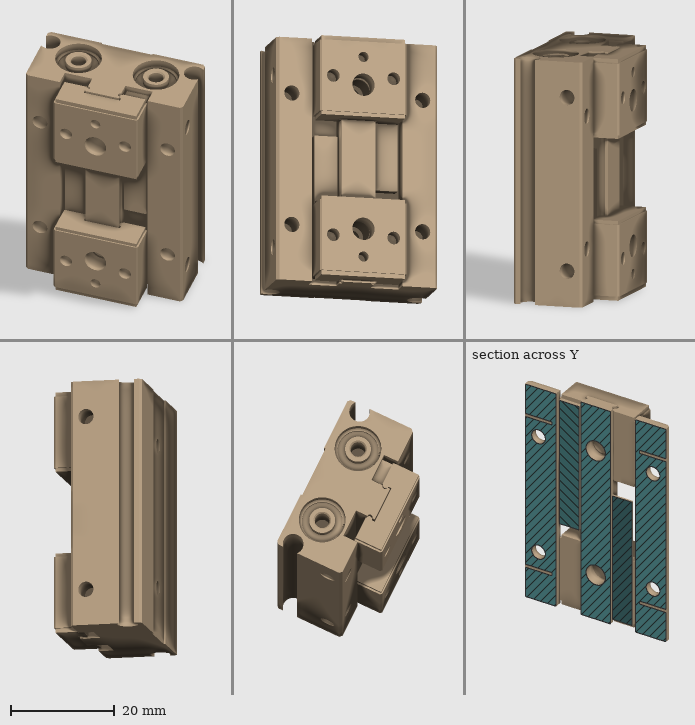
import cadquery as cq
import math


HOUSING_WIDTH = 32.0
HOUSING_DEPTH = 14.0
HOUSING_LENGTH = 48.0
HOUSING_TOP = HOUSING_LENGTH / 2
EDGE_CHAMFER = 0.5
BACK_RELIEF_WIDTH = 10.3
BACK_RELIEF_DEPTH = 0.3

CHANNEL_WIDTH = 17.9
CHANNEL_FLOOR = 11.0
RAIL_HALF_WIDTH = 3.38
RAIL_FRONT = 15.0
GROOVE_CENTRE = 13.95
GROOVE_RADIUS = 0.5

SENSOR_SLOT_RADIUS = 2.0
SENSOR_SLOT_OPENING = 3.0
SENSOR_SLOT_Y = -3.0
SENSOR_SLOT_X = HOUSING_WIDTH / 2 - math.sqrt(SENSOR_SLOT_RADIUS**2 - (SENSOR_SLOT_OPENING / 2) ** 2)

BORE_X = 7.9
BORE_Y = -5.95
BORE_RADIUS = 4.5
BORE_DEPTH = 1.9
RING_THICKNESS = 0.4
RING_INNER_RADIUS = 3.95
RING_GAP = 2.0
RING_EYE_DIAMETER = 0.4
RING_EYE_X = 1.3
BOSS_RADIUS = 2.5
BOSS_RECESS = 0.4
BOSS_HOLE_RADIUS = 1.45
BOSS_HOLE_DEPTH = 5.0
BOSS_HOLE_CHAMFER = 0.27

MOUNT_HOLE_DIAMETER = 3.0
MOUNT_HOLE_DEPTH = 6.0
FRONT_HOLE_X = 13.0
FRONT_HOLE_Z = 13.0
SIDE_HOLE_Y = -11.0
SIDE_HOLE_Z = 17.0
SCREW_HOLE_Z = 14.0
SCREW_HOLE_DIAMETER = 2.7
SCREW_HEAD_DIAMETER = 4.3
SCREW_HEAD_DEPTH = 5.0

FINGER_FRONT = 19.0
FINGER_BACK = 13.25
FINGER_BOTTOM = 8.05
FINGER_TOP = 23.65
CORE_HALF_WIDTH = 8.25
CORE_FRONT = 18.75
SLAB_HALF_WIDTH = 8.6
SLAB_BOTTOM = 8.75
SLAB_TOP = 22.8
SLAB_CHAMFER = SLAB_HALF_WIDTH - CORE_HALF_WIDTH
RAIL_SLOT_HALF_WIDTH = 3.7
RAIL_SLOT_FLOOR = 15.15
BEAD_RADIUS = 0.55
LEG_FRONT = 12.9
LEG_END = -5.1

ACCESS_HOLE_DIAMETER = 4.4
ACCESS_HOLE_Z = 14.25
JAW_HOLE_DIAMETER = 2.5
JAW_HOLE_X = 6.0
JAW_HOLE_Z = 15.75
PIN_HOLE_DIAMETER = 2.0
PIN_HOLE_Z = 19.75
JAW_HOLE_DEPTH = 3.0


def block(x_range, y_range, z_range):
    """Box between two limits along each axis."""
    (x0, x1), (y0, y1), (z0, z1) = x_range, y_range, z_range
    return cq.Workplane("XY").box(x1 - x0, y1 - y0, z1 - z0, centered=False).translate((x0, y0, z0))


def vertical_cylinder(x, y, radius, z_range):
    """Cylinder along Z between two heights."""
    z0, z1 = z_range
    return cq.Workplane("XY", origin=(x, y, z0)).circle(radius).extrude(z1 - z0)


def front_hole(x, z, diameter, face_depth, hole_depth):
    """Cutter that enters along +Y from the face at Y = -face_depth."""
    return cq.Workplane("XZ", origin=(x, -face_depth, z)).circle(diameter / 2).extrude(-hole_depth)


def make_housing_profile():
    """Block with chamfered corners, side channels, grooved rail, back relief and sensor slots."""
    z_range = (-HOUSING_TOP, HOUSING_TOP)
    half_width = HOUSING_WIDTH / 2
    body = block((-half_width, half_width), (-HOUSING_DEPTH, 0), z_range)
    body = body.edges("|Z").chamfer(EDGE_CHAMFER)
    body = body.cut(block((-CHANNEL_WIDTH / 2, CHANNEL_WIDTH / 2), (-HOUSING_DEPTH, -CHANNEL_FLOOR), z_range))
    body = body.union(block((-RAIL_HALF_WIDTH, RAIL_HALF_WIDTH), (-RAIL_FRONT, -CHANNEL_FLOOR), z_range))
    body = body.cut(
        block((-BACK_RELIEF_WIDTH / 2, BACK_RELIEF_WIDTH / 2), (-BACK_RELIEF_DEPTH, 0), z_range)
    )
    for side in (-1, 1):
        body = body.cut(
            vertical_cylinder(side * RAIL_HALF_WIDTH, -GROOVE_CENTRE, GROOVE_RADIUS, z_range)
        )
        body = body.cut(vertical_cylinder(side * SENSOR_SLOT_X, SENSOR_SLOT_Y, SENSOR_SLOT_RADIUS, z_range))
    return body


def make_retaining_ring(x):
    """Open ring resting on the bore floor, with an eye in each end."""
    floor = HOUSING_TOP - BORE_DEPTH
    z_range = (floor, floor + RING_THICKNESS)
    ring = vertical_cylinder(x, BORE_Y, BORE_RADIUS, z_range)
    ring = ring.cut(vertical_cylinder(x, BORE_Y, RING_INNER_RADIUS, z_range))
    ring = ring.cut(block((x - RING_GAP / 2, x + RING_GAP / 2), (BORE_Y - BORE_RADIUS, BORE_Y), z_range))
    eye_offset = math.sqrt(((BORE_RADIUS + RING_INNER_RADIUS) / 2) ** 2 - RING_EYE_X**2)
    for side in (-1, 1):
        eye = vertical_cylinder(x + side * RING_EYE_X, BORE_Y - eye_offset, RING_EYE_DIAMETER / 2, z_range)
        ring = ring.cut(eye)
    return ring


def make_boss(x):
    """Central boss of a cylinder end."""
    return vertical_cylinder(x, BORE_Y, BOSS_RADIUS, (HOUSING_TOP - BORE_DEPTH, HOUSING_TOP - BOSS_RECESS))


def make_boss_hole(x):
    """Blind hole with a countersunk mouth, cut into the boss."""
    top = HOUSING_TOP - BOSS_RECESS
    mouth_radius = BOSS_HOLE_RADIUS + BOSS_HOLE_CHAMFER
    outline = (
        cq.Workplane("XZ", origin=(x, BORE_Y, top))
        .polyline([
            (0, 0),
            (mouth_radius, 0),
            (BOSS_HOLE_RADIUS, -BOSS_HOLE_CHAMFER),
            (BOSS_HOLE_RADIUS, -BOSS_HOLE_DEPTH),
            (0, -BOSS_HOLE_DEPTH),
        ])
        .close()
    )
    return outline.revolve(360, (0, 0, 0), (0, 1, 0))


def make_housing():
    body = make_housing_profile()

    for x in (-BORE_X, BORE_X):
        body = body.cut(vertical_cylinder(x, BORE_Y, BORE_RADIUS, (HOUSING_TOP - BORE_DEPTH, HOUSING_TOP)))
        body = body.union(make_retaining_ring(x))
        body = body.union(make_boss(x))
        body = body.cut(make_boss_hole(x))

    for end in (-1, 1):
        screw_z = end * SCREW_HOLE_Z
        body = body.cut(front_hole(0, screw_z, SCREW_HOLE_DIAMETER, RAIL_FRONT, RAIL_FRONT))
        body = body.cut(front_hole(0, screw_z, SCREW_HEAD_DIAMETER, RAIL_FRONT, SCREW_HEAD_DEPTH))
        for side in (-1, 1):
            x = side * FRONT_HOLE_X
            z = end * FRONT_HOLE_Z
            body = body.cut(front_hole(x, z, MOUNT_HOLE_DIAMETER, HOUSING_DEPTH, MOUNT_HOLE_DEPTH))
            side_hole = (
                cq.Workplane("YZ", origin=(side * HOUSING_WIDTH / 2, SIDE_HOLE_Y, end * SIDE_HOLE_Z))
                .circle(MOUNT_HOLE_DIAMETER / 2)
                .extrude(-side * MOUNT_HOLE_DEPTH)
            )
            body = body.cut(side_hole)
    return body


def make_finger():
    """Upper finger, with its leg in the channel on the +X side of the rail."""
    z_range = (FINGER_BOTTOM, FINGER_TOP)
    slab_range = (SLAB_BOTTOM, SLAB_TOP)

    core = block((-CORE_HALF_WIDTH, CORE_HALF_WIDTH), (-CORE_FRONT, -FINGER_BACK), z_range)
    slab = block((-SLAB_HALF_WIDTH, SLAB_HALF_WIDTH), (-FINGER_FRONT, -FINGER_BACK), slab_range)
    slab = slab.edges("|Z and <Y").chamfer(SLAB_CHAMFER)
    finger = core.union(slab)

    slot_x = (-RAIL_SLOT_HALF_WIDTH, RAIL_SLOT_HALF_WIDTH)
    finger = finger.cut(block(slot_x, (-RAIL_SLOT_FLOOR, -FINGER_BACK), z_range))
    for side in (-1, 1):
        finger = finger.union(
            vertical_cylinder(side * RAIL_SLOT_HALF_WIDTH, -GROOVE_CENTRE, BEAD_RADIUS, z_range)
        )

    leg_x = (RAIL_SLOT_HALF_WIDTH, CORE_HALF_WIDTH)
    finger = finger.union(block(leg_x, (-FINGER_BACK, -CHANNEL_FLOOR), slab_range))
    finger = finger.union(block(leg_x, (-LEG_FRONT, -CHANNEL_FLOOR), (LEG_END, SLAB_BOTTOM)))

    finger = finger.cut(
        front_hole(0, ACCESS_HOLE_Z, ACCESS_HOLE_DIAMETER, FINGER_FRONT, FINGER_FRONT - RAIL_SLOT_FLOOR)
    )
    finger = finger.cut(front_hole(0, PIN_HOLE_Z, PIN_HOLE_DIAMETER, FINGER_FRONT, JAW_HOLE_DEPTH))
    for x in (-JAW_HOLE_X, JAW_HOLE_X):
        finger = finger.cut(front_hole(x, JAW_HOLE_Z, JAW_HOLE_DIAMETER, FINGER_FRONT, JAW_HOLE_DEPTH))
    return finger


housing = make_housing()

fingers = []
for turn in (0, 180):
    fingers.append(make_finger().rotate((0, 0, 0), (0, 1, 0), turn))

result = cq.Compound.makeCompound([housing.solids().val(), *[finger.solids().val() for finger in fingers]])